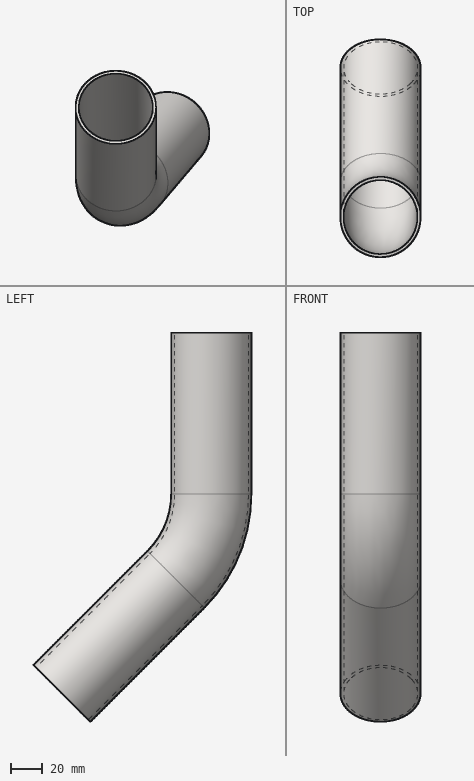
import cadquery as cq
import math

overall_height = 245.3
outer_diameter = 50.8
inner_diameter = 46.5
bend_radius = 1.5 * outer_diameter
bend_angle = 45.0

sine = math.sin(math.radians(bend_angle))
cosine = math.cos(math.radians(bend_angle))
bend_height = (bend_radius + outer_diameter / 2) * sine
leg_length = (overall_height - bend_height) / (1 + cosine)


def centreline():
    """Vertical leg, bend and inclined leg in the YZ plane, from the top end down."""
    half_angle = math.radians(bend_angle / 2)
    bend_middle = (
        bend_radius * (1 - math.cos(half_angle)),
        -bend_radius * math.sin(half_angle),
    )
    bend_end = (bend_radius * (1 - cosine), -bend_radius * sine)
    leg_end = (bend_end[0] + leg_length * sine, bend_end[1] - leg_length * cosine)
    return (
        cq.Workplane("YZ")
        .moveTo(0, leg_length)
        .lineTo(0, 0)
        .threePointArc(bend_middle, bend_end)
        .lineTo(*leg_end)
    )


result = (
    cq.Workplane("XY", origin=(0, 0, leg_length))
    .circle(outer_diameter / 2)
    .circle(inner_diameter / 2)
    .sweep(centreline())
)